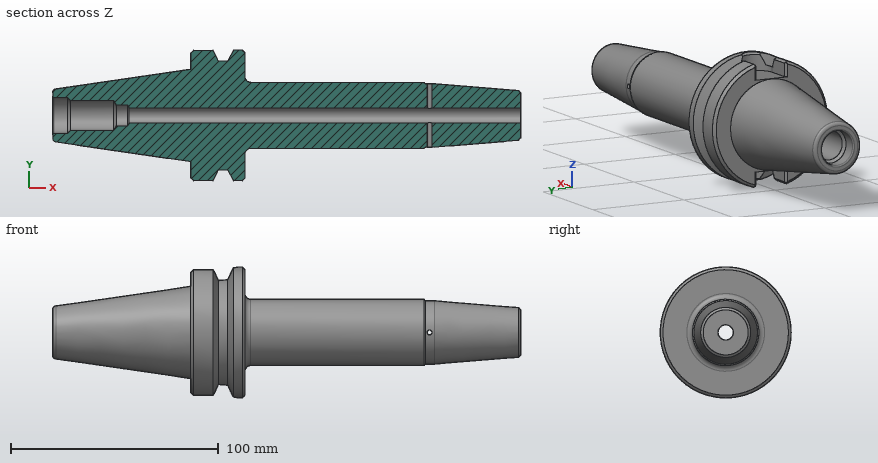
import cadquery as cq
import math

OVERALL_LENGTH = 225.5

TAPER_LENGTH = 66.5
TAPER_LARGE_RADIUS = 22.3
TAPER_SLOPE = 7 / 48
TAPER_SMALL_RADIUS = TAPER_LARGE_RADIUS - TAPER_LENGTH * TAPER_SLOPE
TAPER_END_ROUND = 1.8

FLANGE_RADIUS = 31.5
FLANGE_END = 92.6
FLANGE_CHAMFER = 1.4
GROOVE_RADIUS = 26.4
GROOVE_START = 77.3
GROOVE_FLOOR_START = 79.8
GROOVE_FLOOR_END = 84.3
GROOVE_END = 87.0

SHANK_RADIUS = 16.0
SHANK_FILLET = 2.7
SHANK_END = 178.7
NOSE_RADIUS = 15.3
NOSE_STEP_LENGTH = 0.7
NOSE_TAPER_START = 184.0
NOSE_TIP_RADIUS = 12.0
NOSE_TIP_CHAMFER = 1.1

THROUGH_RADIUS = 3.5
COUNTERBORE_RADIUS = 8.5
COUNTERBORE_DEPTH = 7.2
BORE_MOUTH_ROUND = 0.7
THREAD_RADIUS = 7.2
THREAD_END = 29.3
PILOT_RADIUS = 5.0
PILOT_END = 36.0
DRILL_POINT_ANGLE = 118
DRILL_CONE_SLOPE = 1 / math.tan(math.radians(DRILL_POINT_ANGLE / 2))

SLOT_HALF_WIDTH = 8.0
SLOT_FLOOR = 22.5
SLOT_END = 88.1
SLOT_CHAMFER = 1.1

CROSS_HOLE_X = 181.5
CROSS_HOLE_RADIUS = 1.1


def make_body():
    """Revolve the outer profile about the X axis."""
    profile = (
        cq.Workplane("XY")
        .lineTo(0, TAPER_SMALL_RADIUS)
        .lineTo(TAPER_LENGTH, TAPER_LARGE_RADIUS)
        .lineTo(TAPER_LENGTH, FLANGE_RADIUS - FLANGE_CHAMFER)
        .lineTo(TAPER_LENGTH + FLANGE_CHAMFER, FLANGE_RADIUS)
        .lineTo(GROOVE_START, FLANGE_RADIUS)
        .lineTo(GROOVE_FLOOR_START, GROOVE_RADIUS)
        .lineTo(GROOVE_FLOOR_END, GROOVE_RADIUS)
        .lineTo(GROOVE_END, FLANGE_RADIUS)
        .lineTo(FLANGE_END - FLANGE_CHAMFER, FLANGE_RADIUS)
        .lineTo(FLANGE_END, FLANGE_RADIUS - FLANGE_CHAMFER)
        .lineTo(FLANGE_END, SHANK_RADIUS + SHANK_FILLET)
        .radiusArc((FLANGE_END + SHANK_FILLET, SHANK_RADIUS), -SHANK_FILLET)
        .lineTo(SHANK_END, SHANK_RADIUS)
        .lineTo(SHANK_END + NOSE_STEP_LENGTH, NOSE_RADIUS)
        .lineTo(NOSE_TAPER_START, NOSE_RADIUS)
        .lineTo(OVERALL_LENGTH, NOSE_TIP_RADIUS)
        .lineTo(OVERALL_LENGTH, 0)
        .close()
    )
    body = profile.revolve(360, (0, 0, 0), (1, 0, 0))
    body = body.faces("<X").edges().fillet(TAPER_END_ROUND)
    return body.faces(">X").edges().chamfer(NOSE_TIP_CHAMFER)


def make_bore():
    """Counterbore, thread hole, pilot hole and through hole, joined by cones."""
    thread_chamfer = COUNTERBORE_RADIUS - THREAD_RADIUS
    thread_cone = (THREAD_RADIUS - PILOT_RADIUS) * DRILL_CONE_SLOPE
    pilot_cone = (PILOT_RADIUS - THROUGH_RADIUS) * DRILL_CONE_SLOPE
    profile = (
        cq.Workplane("XY")
        .lineTo(0, COUNTERBORE_RADIUS + BORE_MOUTH_ROUND)
        .radiusArc((BORE_MOUTH_ROUND, COUNTERBORE_RADIUS), -BORE_MOUTH_ROUND)
        .lineTo(COUNTERBORE_DEPTH, COUNTERBORE_RADIUS)
        .lineTo(COUNTERBORE_DEPTH + thread_chamfer, THREAD_RADIUS)
        .lineTo(THREAD_END, THREAD_RADIUS)
        .lineTo(THREAD_END + thread_cone, PILOT_RADIUS)
        .lineTo(PILOT_END, PILOT_RADIUS)
        .lineTo(PILOT_END + pilot_cone, THROUGH_RADIUS)
        .lineTo(OVERALL_LENGTH, THROUGH_RADIUS)
        .lineTo(OVERALL_LENGTH, 0)
        .close()
    )
    return profile.revolve(360, (0, 0, 0), (1, 0, 0))


def make_slot():
    """Round-ended drive slot at the top of the flange, with chamfered mouth edges."""
    center_x = SLOT_END - SLOT_HALF_WIDTH
    height = FLANGE_RADIUS - SLOT_FLOOR
    slot = (
        cq.Workplane("XY", origin=(0, 0, SLOT_FLOOR))
        .moveTo(TAPER_LENGTH, -SLOT_HALF_WIDTH)
        .lineTo(center_x, -SLOT_HALF_WIDTH)
        .threePointArc((SLOT_END, 0), (center_x, SLOT_HALF_WIDTH))
        .lineTo(TAPER_LENGTH, SLOT_HALF_WIDTH)
        .close()
        .extrude(height)
    )
    mouth_half_width = SLOT_HALF_WIDTH + SLOT_CHAMFER
    front_chamfer = (
        cq.Workplane("XY", origin=(0, 0, SLOT_FLOOR))
        .moveTo(TAPER_LENGTH, -mouth_half_width)
        .lineTo(TAPER_LENGTH + SLOT_CHAMFER, -SLOT_HALF_WIDTH)
        .lineTo(TAPER_LENGTH + SLOT_CHAMFER, SLOT_HALF_WIDTH)
        .lineTo(TAPER_LENGTH, mouth_half_width)
        .close()
        .extrude(height)
    )
    rim_z = math.sqrt(FLANGE_RADIUS**2 - mouth_half_width**2)
    top_chamfer = (
        cq.Workplane("YZ", origin=(TAPER_LENGTH, 0, 0))
        .moveTo(-SLOT_HALF_WIDTH, rim_z - SLOT_CHAMFER)
        .lineTo(SLOT_HALF_WIDTH, rim_z - SLOT_CHAMFER)
        .lineTo(mouth_half_width, rim_z)
        .lineTo(mouth_half_width, FLANGE_RADIUS)
        .lineTo(-mouth_half_width, FLANGE_RADIUS)
        .lineTo(-mouth_half_width, rim_z)
        .close()
        .extrude(GROOVE_FLOOR_START - TAPER_LENGTH)
    )
    end_chamfer = (
        cq.Workplane("XY", origin=(center_x, 0, FLANGE_RADIUS))
        .circle(mouth_half_width)
        .extrude(-SLOT_CHAMFER, taper=45)
    )
    return slot.union(front_chamfer).union(top_chamfer).union(end_chamfer)


def make_cross_hole():
    """Small hole along Y through the nose."""
    return (
        cq.Workplane("XZ", origin=(CROSS_HOLE_X, 0, 0))
        .circle(CROSS_HOLE_RADIUS)
        .extrude(FLANGE_RADIUS, both=True)
    )


top_slot = make_slot()
bottom_slot = top_slot.rotate((0, 0, 0), (1, 0, 0), 180)

result = make_body().cut(make_bore()).cut(top_slot).cut(bottom_slot).cut(make_cross_hole())